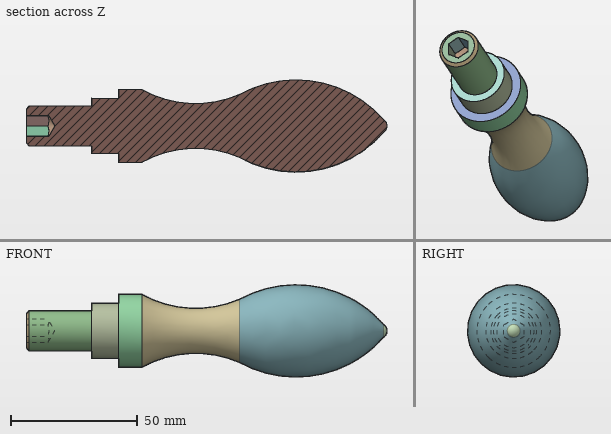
import cadquery as cq
import math

total_length = 143.0
pin_radius = 16.0 / 2
pin_end = 25.9
pin_chamfer_length = 1.0
pin_chamfer_depth = 1.3
shoulder_radius = 22.0 / 2
shoulder_end = 36.6
collar_radius = 29.0 / 2
collar_end = 45.8

neck_radius = 9.0
neck_end = 84.5
neck_end_radius = 12.6
neck_middle = (collar_end + neck_end) / 2
bulb_radius = 36.8 / 2
bulb_peak = 107.0
tip_start = 141.5
tip_radius = 2.6
tip_height = total_length - tip_start
dome_radius = (tip_radius**2 + tip_height**2) / (2 * tip_height)
dome_mid_angle = math.asin(tip_radius / dome_radius) / 2

hex_across_flats = 8.0
hex_across_corners = hex_across_flats / math.cos(math.radians(30))
socket_depth = 8.6
cone_depth = hex_across_corners / 2 * math.tan(math.radians(30))


def make_handle():
    """Revolve the complete outer profile around X."""
    dome_middle = (
        total_length - dome_radius * (1 - math.cos(dome_mid_angle)),
        dome_radius * math.sin(dome_mid_angle),
    )
    profile = (
        cq.Workplane("XY")
        .lineTo(0, pin_radius - pin_chamfer_depth)
        .lineTo(pin_chamfer_length, pin_radius)
        .lineTo(pin_end, pin_radius)
        .lineTo(pin_end, shoulder_radius)
        .lineTo(shoulder_end, shoulder_radius)
        .lineTo(shoulder_end, collar_radius)
        .lineTo(collar_end, collar_radius)
        .threePointArc((neck_middle, neck_radius), (neck_end, neck_end_radius))
        .threePointArc((bulb_peak, bulb_radius), (tip_start, tip_radius))
        .threePointArc(dome_middle, (total_length, 0))
        .close()
    )
    return profile.revolve(360, (0, 0, 0), (1, 0, 0))


def make_socket():
    """Hexagonal prism with corners on Z, limited by a drill-point cone."""
    hexagon = (
        cq.Workplane("YZ")
        .transformed(rotate=(0, 0, 90))
        .polygon(6, hex_across_corners)
        .extrude(socket_depth + cone_depth)
    )
    drill = (
        cq.Workplane("XY")
        .lineTo(0, hex_across_corners / 2)
        .lineTo(socket_depth, hex_across_corners / 2)
        .lineTo(socket_depth + cone_depth, 0)
        .close()
        .revolve(360, (0, 0, 0), (1, 0, 0))
    )
    return hexagon.intersect(drill)


result = make_handle().cut(make_socket())